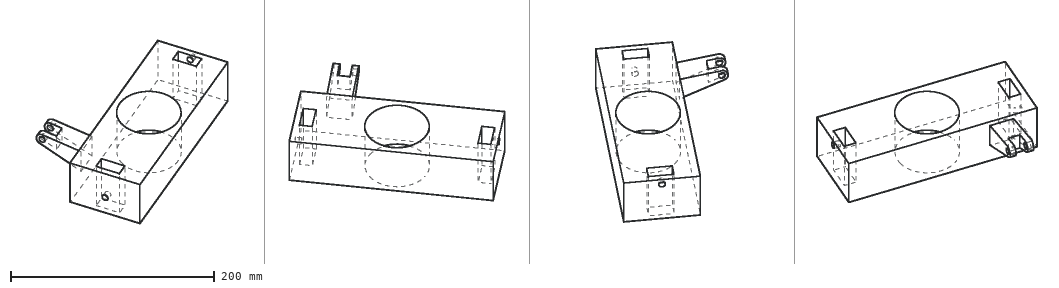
import cadquery as cq
import math

block_width = 76.2
block_length = 203.2
block_height = 50.8
bore_diameter = 63.5

slot_width = 25.4
slot_length = 12.7
end_wall = 6.35

pin_hole_diameter = 6.35
front_pin_height = 19.6
back_pin_depth = 6.35
back_pin_height = block_height - back_pin_depth

arm_width = 25.4
arm_end_offset = 25.4
arm_root_height = 25.4
arm_eye_height = 45.74
arm_reach = 42.23
arm_eye_radius = 6.35
arm_hole_diameter = 6.35
fork_gap = 12.7
fork_depth = 19.05

face_x = -block_width / 2
end_y = block_length / 2
arm_near_y = -end_y + arm_end_offset
arm_center_y = arm_near_y + arm_width / 2
eye_x = face_x - arm_reach
arm_tip_x = eye_x - arm_eye_radius


def cylinder_along_y(x, z, diameter, start_y, length):
    """Cylinder running in +Y from start_y."""
    return cq.Workplane("XY").add(
        cq.Solid.makeCylinder(diameter / 2, length, cq.Vector(x, start_y, z), cq.Vector(0, 1, 0))
    )


def eye_point(angle):
    """Point (x, z) on the eye's rim at an angle measured from +X towards +Z."""
    return (eye_x + arm_eye_radius * math.cos(angle), arm_eye_height + arm_eye_radius * math.sin(angle))


def make_block():
    block = cq.Workplane("XY").box(block_width, block_length, block_height, centered=(True, True, False))
    return block.faces(">Z").workplane().hole(bore_diameter)


def make_arm():
    """Arm whose edges run tangent to the rounded eye, forked at the tip."""
    root_top_z = arm_eye_height
    root_bottom_z = root_top_z - arm_root_height

    upper_angle = math.acos(arm_eye_radius / arm_reach)
    corner_distance = math.hypot(arm_reach, arm_root_height)
    corner_angle = math.atan2(-arm_root_height, arm_reach)
    lower_angle = corner_angle - math.acos(arm_eye_radius / corner_distance)

    arm = (
        cq.Workplane("XZ", origin=(0, arm_near_y, 0))
        .moveTo(face_x, root_bottom_z)
        .lineTo(face_x, root_top_z)
        .lineTo(*eye_point(upper_angle))
        .threePointArc((arm_tip_x, arm_eye_height), eye_point(lower_angle))
        .close()
        .extrude(-arm_width)
    )
    fork = cq.Workplane("XY").box(fork_depth, fork_gap, 2 * block_height)
    fork = fork.translate((arm_tip_x + fork_depth / 2, arm_center_y, block_height))
    eye_hole = cylinder_along_y(eye_x, arm_eye_height, arm_hole_diameter, arm_near_y, arm_width)
    return arm.cut(fork).cut(eye_hole)


def cut_end_slots(body):
    """Cut a slot and its pin hole at both ends of the block."""
    slot_center_y = end_y - end_wall - slot_length / 2
    pin_hole_length = end_wall + slot_length / 2
    for side, pin_height in ((-1, front_pin_height), (1, back_pin_height)):
        slot = cq.Workplane("XY").box(slot_width, slot_length, block_height, centered=(True, True, False))
        body = body.cut(slot.translate((0, side * slot_center_y, 0)))
        start_y = min(side * end_y, side * slot_center_y)
        body = body.cut(cylinder_along_y(0, pin_height, pin_hole_diameter, start_y, pin_hole_length))
    return body


result = cut_end_slots(make_block().union(make_arm()))